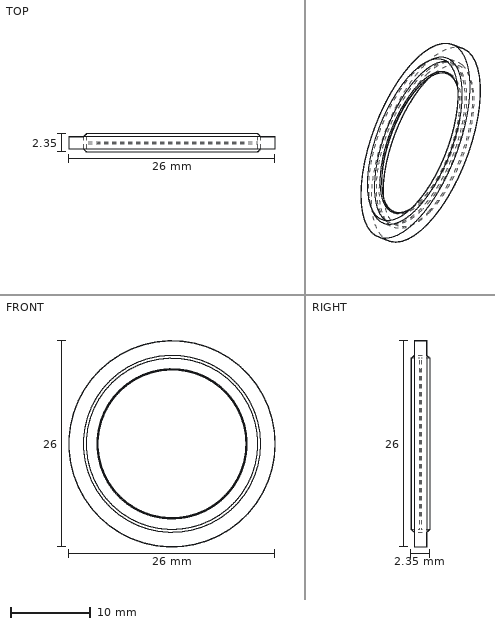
import cadquery as cq

outer_radius = 12.98
ring_thickness = 1.55
seal_thickness = 2.35
web_thickness = 0.25

lip_base_radius = 11.13
lip_crest_radius = 10.77
web_face_radius = 9.45
bore_radius = 9.3

half_ring = ring_thickness / 2
half_seal = seal_thickness / 2
half_web = web_thickness / 2


def revolve_profile(points):
    """Revolve a closed (radius, y) profile about the Y axis."""
    return cq.Workplane("XY").polyline(points).close().revolve(360, (0, 0, 0), (0, 1, 0))


def make_outer_ring():
    """Flat rectangular-section ring around the seal."""
    return revolve_profile([
        (lip_base_radius, -half_ring),
        (outer_radius, -half_ring),
        (outer_radius, half_ring),
        (lip_base_radius, half_ring),
    ])


def make_seal():
    """Inner seal: a sharp lip on both sides and a thin web with a pointed inner rim."""
    return revolve_profile([
        (lip_base_radius, -half_ring),
        (lip_base_radius, half_ring),
        (lip_crest_radius, half_seal),
        (lip_crest_radius, half_web),
        (web_face_radius, half_web),
        (bore_radius, 0),
        (web_face_radius, -half_web),
        (lip_crest_radius, -half_web),
        (lip_crest_radius, -half_seal),
    ])


outer_ring = make_outer_ring()
seal = make_seal()

result = cq.Compound.makeCompound([outer_ring.val(), seal.val()])